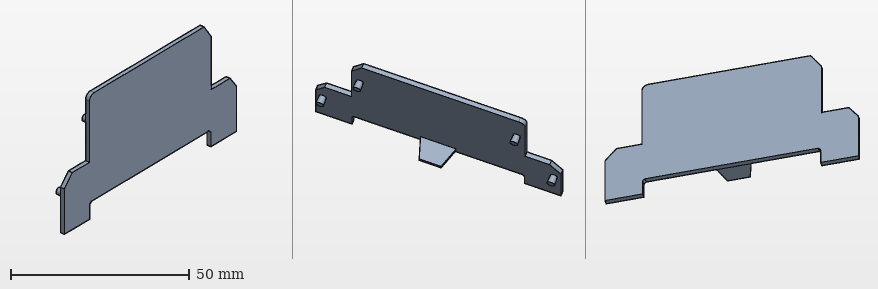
import cadquery as cq
import math

length = 73.5
height = 40.7
plate_thickness = 1.5
half_length = length / 2

half_body = 26.0
shoulder_height = 18.75
body_chamfer_y = 3.1
body_chamfer_z = 4.6
body_corner_radius = 2.0
shoulder_chamfer_z = 3.8
left_chamfer_y = 2.7
right_chamfer_y = 3.4

half_notch = 25.8
notch_height = 5.5
notch_chamfer = 0.65

peg_tip_diameter = 2.3
peg_root_diameter = 2.1
peg_length = 2.5
peg_pairs = [(23.5, 30.7), (34.6, 11.75)]

tab_length = 6.55
tab_root_width = 10.7
tab_tip_width = 6.6
tab_thickness = 1.0
tab_bottom = 6.55


def make_plate():
    """Stepped plate with bevelled shoulders and one rounded top corner."""
    shoulder_bevel_height = shoulder_height - shoulder_chamfer_z
    outline = [
        (half_length, 0),
        (half_length, shoulder_bevel_height),
        (half_length - left_chamfer_y, shoulder_height),
        (half_body, shoulder_height),
        (half_body, height - body_chamfer_z),
        (half_body - body_chamfer_y, height),
        (-half_body, height),
        (-half_body, shoulder_height),
        (-half_length + right_chamfer_y, shoulder_height),
        (-half_length, shoulder_bevel_height),
        (-half_length, 0),
    ]
    plate = cq.Workplane("YZ").polyline(outline).close().extrude(plate_thickness)
    return plate.edges("|X and >Z").edges("<Y").fillet(body_corner_radius)


def make_notch():
    """Cutter for the gap between the feet, with bevelled upper corners."""
    notch = (
        cq.Workplane("YZ")
        .rect(2 * half_notch, 2 * notch_height)
        .extrude(plate_thickness)
    )
    return notch.edges("|X and >Z").chamfer(notch_chamfer)


def make_pegs():
    """Round pegs standing out towards -X, slightly wider at the tip than at the root."""
    centres = [(side * y, z) for y, z in peg_pairs for side in (-1, 1)]
    taper = math.degrees(math.atan((peg_tip_diameter - peg_root_diameter) / 2 / peg_length))
    tips = cq.Workplane("YZ", origin=(-peg_length, 0, 0)).pushPoints(centres)
    return tips.circle(peg_tip_diameter / 2).extrude(peg_length, taper=taper)


def make_tab():
    """Flat tab that narrows away from the plate."""
    outline = [
        (0, -tab_root_width / 2),
        (0, tab_root_width / 2),
        (-tab_length, tab_tip_width / 2),
        (-tab_length, -tab_tip_width / 2),
    ]
    tab_plane = cq.Workplane("XY").workplane(offset=tab_bottom)
    return tab_plane.polyline(outline).close().extrude(tab_thickness)


result = make_plate().cut(make_notch()).union(make_pegs()).union(make_tab())